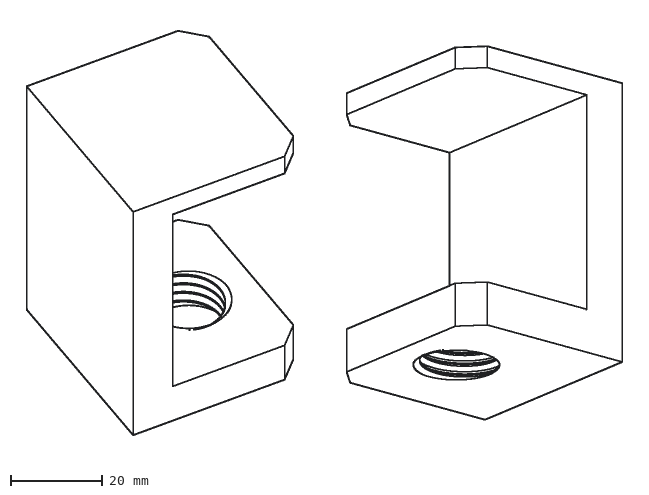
import cadquery as cq
import math

width = 48.0
depth = 43.0
height = 65.0
back_wall = 10.0
top_arm = 5.0
bottom_arm = 10.0
corner_chamfer = 5.0

minor_diameter = 17.55
major_diameter = 20.3
turns_in_arm = 4
thread_pitch = bottom_arm / turns_in_arm
crest_flat = 0.4
flank_half_angle = math.radians(30)
thread_y = (back_wall + depth) / 2
groove_lead_in = 2.85
groove_overlap = 0.1


def make_block():
    """C-shaped block with its two free vertical corners chamfered."""
    block = cq.Workplane("XY").box(width, depth, height, centered=(True, False, False))
    block = block.edges("|Z and >Y").chamfer(corner_chamfer)
    opening_height = height - top_arm - bottom_arm
    opening = (
        cq.Workplane("XY")
        .box(width, depth, opening_height, centered=(True, False, False))
        .translate((0, back_wall, bottom_arm))
    )
    return block.cut(opening)


def make_bore():
    """Plain bore at the minor diameter of the thread."""
    return cq.Workplane("XY").center(0, thread_y).circle(minor_diameter / 2).extrude(bottom_arm)


def make_thread_groove():
    """Helical trapezoid groove that runs out past both faces of the bottom arm."""
    minor_radius = minor_diameter / 2
    major_radius = major_diameter / 2
    inner_radius = minor_radius - groove_overlap
    slope = math.tan(flank_half_angle)
    mouth_half = (thread_pitch - crest_flat) / 2
    root_half = mouth_half - (major_radius - minor_radius) * slope
    inner_half = mouth_half + groove_overlap * slope
    helix = cq.Wire.makeHelix(thread_pitch, bottom_arm + 2 * groove_lead_in, minor_radius)
    groove = (
        cq.Workplane("XZ")
        .polyline([
            (inner_radius, -inner_half),
            (major_radius, -root_half),
            (major_radius, root_half),
            (inner_radius, inner_half),
        ])
        .close()
        .sweep(cq.Workplane(helix), isFrenet=True)
    )
    return groove.translate((0, thread_y, -groove_lead_in))


result = make_block().cut(make_thread_groove()).cut(make_bore())